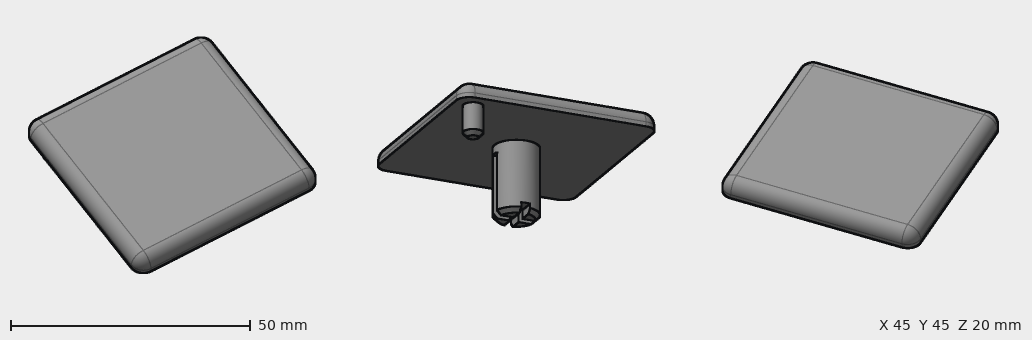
import cadquery as cq

total_height = 20.0
plate_side = 45
plate_thickness = 4.0
edge_radius = 2.95

post_diameter = 10.0
post_length = total_height - plate_thickness
slot_width = 2.0
slot_top_gap = 2.0
notch_depth = 2.0

pin_diameter = 4.3
pin_length = 7.0
pin_offset = 18

tip_chamfer = 1.0


def chamfered_peg(x, y, diameter, length):
    """Cylinder hanging from the plate underside, chamfered at its tip."""
    peg = cq.Workplane("XY").center(x, y).circle(diameter / 2).extrude(-length)
    return peg.faces("<Z").chamfer(tip_chamfer)


def rounded_plate():
    """Square plate with rounded corners and a rounded top edge."""
    plate = cq.Workplane("XY").rect(plate_side, plate_side).extrude(plate_thickness)
    return plate.edges("|Z or >Z").fillet(edge_radius)


def split_post():
    """Post with a long slot along X and a shallow notch along Y at its tip."""
    post = chamfered_peg(0, 0, post_diameter, post_length)
    tip = cq.Workplane("XY").workplane(offset=-post_length)
    long_slot = tip.rect(post_diameter, slot_width).extrude(post_length - slot_top_gap)
    notch = tip.rect(slot_width, post_diameter).extrude(notch_depth)
    return post.cut(long_slot).cut(notch)


pin = chamfered_peg(-pin_offset, -pin_offset, pin_diameter, pin_length)
result = rounded_plate().union(split_post()).union(pin)